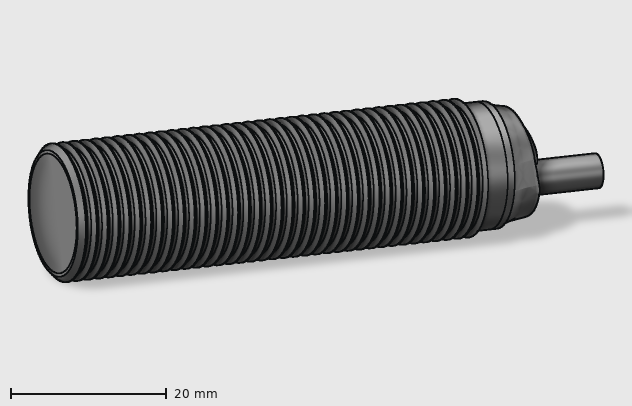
import cadquery as cq
import math

TOTAL_LENGTH = 75.9

THREAD_DIAMETER = 18.0
THREAD_RADIUS = THREAD_DIAMETER / 2
BARREL_RADIUS = 8.3
THREAD_PITCH = 1.5
THREAD_COUNT = 38
FIRST_CREST = 0.8
CREST_FLAT = 0.15
ROOT_FLAT = 0.45
HOUSING_END = 60.0
FACE_EDGE_RADIUS = 8.2

DISC_RADIUS = 7.75
DISC_DEPTH = 1.5

FLANGE_LENGTH = 1.0
FLANGE_END = HOUSING_END + FLANGE_LENGTH
BOOT_END = 65.9
NECK_FLAT_HALF = 1.75
NECK_BASE_HALF_WIDTH = 7.75
NECK_BASE_HALF_HEIGHT = 8.05
NECK_WAIST_Y = 63.4
NECK_WAIST_HALF_WIDTH = 6.2
NECK_WAIST_HALF_HEIGHT = 7.45
NECK_TOP_HALF_WIDTH = 5.6
NECK_TOP_HALF_HEIGHT = 7.2
SLANT_ANGLE = 11.0
SLANT_START_Z = -2.6
RIM_RADIUS = 0.9

CRESCENT_RADIUS = 5.15
CRESCENT_CENTER_Z = 0.9
CRESCENT_BASE_Y = 63.0
CRESCENT_RIDGE_Z = 2.7
CRESCENT_ROUNDING = 1.7
CLEARANCE_RADIUS = 3.35
CLEARANCE_HEIGHT = 4.55
CLEARANCE_ANGLE = 45.0

CABLE_RADIUS = 2.3
CABLE_Z = -2.35


def section_plane(y):
    """Plane across the barrel at distance y: local x is +X, local y is +Z, normal is -Y."""
    return cq.Plane(origin=(0, y, 0), xDir=(1, 0, 0), normal=(0, -1, 0))


def cylinder(radius, y_start, y_end, z=0.0):
    return cq.Workplane(section_plane(y_end)).center(0, z).circle(radius).extrude(y_end - y_start)


def revolve_about_y(profile):
    return profile.close().revolve(360, (0, 0, 0), (0, 1, 0))


def make_housing():
    """Barrel with ring-shaped thread teeth; the last tooth ends square at the start of its crest."""
    half_root = ROOT_FLAT / 2
    half_crest = CREST_FLAT / 2
    profile = cq.Workplane("XY").lineTo(FACE_EDGE_RADIUS, 0)
    for tooth in range(THREAD_COUNT - 1):
        crest = FIRST_CREST + tooth * THREAD_PITCH
        root = crest + THREAD_PITCH / 2
        profile = profile.lineTo(THREAD_RADIUS, crest - half_crest).lineTo(THREAD_RADIUS, crest + half_crest)
        profile = profile.lineTo(BARREL_RADIUS, root - half_root).lineTo(BARREL_RADIUS, root + half_root)
    thread_end = FIRST_CREST + (THREAD_COUNT - 1) * THREAD_PITCH - half_crest
    profile = profile.lineTo(THREAD_RADIUS, thread_end).lineTo(BARREL_RADIUS, thread_end)
    profile = profile.lineTo(BARREL_RADIUS, HOUSING_END).lineTo(0, HOUSING_END)
    return revolve_about_y(profile).cut(cylinder(DISC_RADIUS, 0, DISC_DEPTH))


def make_sensing_disc():
    return cylinder(DISC_RADIUS, 0, DISC_DEPTH)


def neck_section(y, half_width, half_height):
    """Closed wire with two straight sides, joined above and below by arcs."""
    outline = cq.Workplane(section_plane(y)).moveTo(half_width, -NECK_FLAT_HALF)
    outline = outline.lineTo(half_width, NECK_FLAT_HALF)
    outline = outline.threePointArc((0, half_height), (-half_width, NECK_FLAT_HALF))
    outline = outline.lineTo(-half_width, -NECK_FLAT_HALF)
    outline = outline.threePointArc((0, -half_height), (half_width, -NECK_FLAT_HALF))
    return outline.close().val()


def make_neck():
    """Smoothly flared neck with a slanted end above the cable and a rounded rim."""
    sections = [
        neck_section(FLANGE_END, NECK_BASE_HALF_WIDTH, NECK_BASE_HALF_HEIGHT),
        neck_section(NECK_WAIST_Y, NECK_WAIST_HALF_WIDTH, NECK_WAIST_HALF_HEIGHT),
        neck_section(BOOT_END, NECK_TOP_HALF_WIDTH, NECK_TOP_HALF_HEIGHT),
    ]
    neck = cq.Workplane(cq.Solid.makeLoft(sections))
    slant_height = BARREL_RADIUS - SLANT_START_Z
    slant_drop = slant_height * math.tan(math.radians(SLANT_ANGLE))
    slant_cut = (
        cq.Workplane("YZ")
        .moveTo(BOOT_END, SLANT_START_Z)
        .lineTo(BOOT_END, BARREL_RADIUS)
        .lineTo(BOOT_END - slant_drop, BARREL_RADIUS)
        .close()
        .extrude(BARREL_RADIUS, both=True)
    )
    end_faces = neck.cut(slant_cut).faces("%PLANE").faces("not <Y")
    return end_faces.edges("not |X").fillet(RIM_RADIUS)


def make_crescent():
    """Rounded disc tilted onto the slant, keeping only the part above the cable clearance cone."""
    dome = cylinder(CRESCENT_RADIUS, CRESCENT_BASE_Y, BOOT_END, CRESCENT_CENTER_Z)
    dome = dome.faces(">Y").edges().fillet(CRESCENT_ROUNDING)
    dome = dome.rotate((0, BOOT_END, CRESCENT_RIDGE_Z), (1, BOOT_END, CRESCENT_RIDGE_Z), SLANT_ANGLE)
    clearance_growth = CLEARANCE_HEIGHT * math.tan(math.radians(CLEARANCE_ANGLE))
    clearance = cq.Solid.makeCone(
        CLEARANCE_RADIUS,
        CLEARANCE_RADIUS + clearance_growth,
        CLEARANCE_HEIGHT,
        pnt=cq.Vector(0, CRESCENT_BASE_Y, CABLE_Z),
        dir=cq.Vector(0, 1, 0),
    )
    lower_side = (
        cq.Workplane("XY", origin=(0, 0, CRESCENT_CENTER_Z))
        .rect(2 * BARREL_RADIUS, 2 * TOTAL_LENGTH)
        .extrude(-BARREL_RADIUS)
    )
    return dome.cut(cq.Workplane(clearance)).cut(lower_side)


def make_boot():
    flange = cylinder(BARREL_RADIUS, HOUSING_END, FLANGE_END)
    boot = flange.union(make_neck()).union(make_crescent())
    return boot.cut(make_cable())


def make_cable():
    return cylinder(CABLE_RADIUS, HOUSING_END, TOTAL_LENGTH, CABLE_Z)


housing = make_housing()
sensing_disc = make_sensing_disc()
boot = make_boot()
cable = make_cable()

result = cq.Compound.makeCompound([housing.val(), sensing_disc.val(), boot.val(), cable.val()])